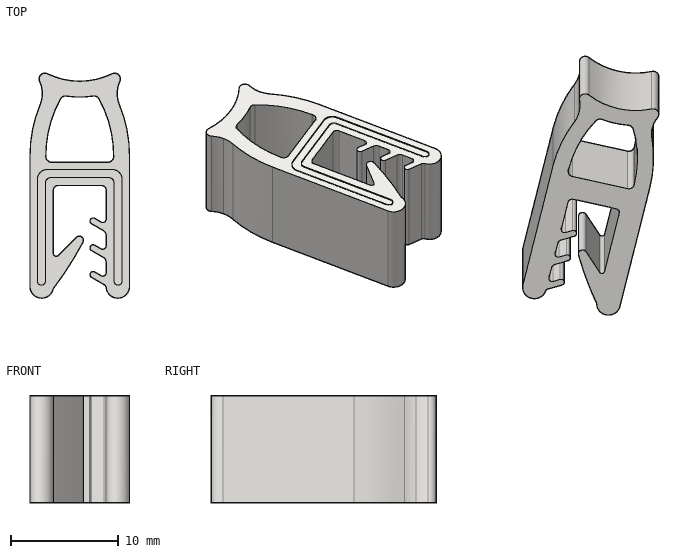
import cadquery as cq
import math


WIDTH = 9.3
HEIGHT = 21.0
LENGTH = 10.0
HALF_WIDTH = WIDTH / 2

LEG_WIDTH = 2.2
LEG_RADIUS = LEG_WIDTH / 2
LEG_X = HALF_WIDTH - LEG_RADIUS
CHANNEL_HALF = HALF_WIDTH - LEG_WIDTH
CHANNEL_TOP = 10.5
CHANNEL_CORNER_RADIUS = 0.4

INSERT_THICKNESS = 0.75
INSERT_COVER = 0.75
INSERT_INNER_HALF = CHANNEL_HALF + INSERT_COVER
INSERT_OUTER_HALF = INSERT_INNER_HALF + INSERT_THICKNESS
INSERT_INNER_TOP = CHANNEL_TOP + INSERT_COVER
INSERT_OUTER_TOP = INSERT_INNER_TOP + INSERT_THICKNESS
INSERT_BOTTOM = 1.225
INSERT_OUTER_RADIUS = 0.9
INSERT_INNER_RADIUS = 0.5
INSERT_RECESS = 0.1

SHOULDER_Y = 13.3
SHOULDER_RADIUS = 12.4
NECK_HALF = 3.505
NECK_Y = 19.1
HORN_RADIUS = 0.55
HORN_X = 3.25
HORN_Y = HEIGHT - HORN_RADIUS
CROWN_Y = 20.25

BULB_WALL = 1.5
HOLLOW_FLOOR = 12.7
HOLLOW_CORNER_RADIUS = 0.5

LIP_TIP_X = -0.05
LIP_TIP_Y = 5.4
LIP_TIP_RADIUS = 0.4
LIP_TOP_ANGLE = 45.0
LIP_LOWER_ANGLE = 28.0
LIP_ROOT_Y = 0.9
LIP_BOW = 0.1
LIP_ROOT_FILLET = 0.25

RIB_COUNT = 3
RIB_PITCH = 2.5
RIB_TIP_X = 1.25
LOWEST_RIB_Y = 2.2
RIB_TIP_RADIUS = 0.3
RIB_SLOPE = 30.0
RIB_TOP_FILLET = 0.3
RIB_BOTTOM_FILLET = 0.5
LOWEST_RIB_BOTTOM_FILLET = 0.35


def polar(center, radius, angle):
    """Point on a circle, at an angle in degrees from +X."""
    turn = math.radians(angle)
    return (center[0] + radius * math.cos(turn), center[1] + radius * math.sin(turn))


def direction(start, end):
    """Angle in degrees from +X of the line from start to end."""
    return math.degrees(math.atan2(end[1] - start[1], end[0] - start[0]))


def mirrored(point):
    """The same point on the other side of the centre line."""
    return (-point[0], point[1])


def meeting_point(center_a, radius_a, center_b, radius_b):
    """Crossing of two circles that lies to the left when looking from a to b."""
    gap = math.dist(center_a, center_b)
    along = (gap**2 + radius_a**2 - radius_b**2) / (2 * gap)
    turn = math.degrees(math.acos(along / radius_a))
    return polar(center_a, radius_a, direction(center_a, center_b) + turn)


def neck_radius(center, radius):
    """Radius of the neck arc that touches the given arc from outside."""
    inset = center[0] + NECK_HALF
    rise = center[1] - NECK_Y
    return (inset**2 + rise**2 - radius**2) / (2 * (radius - inset))


shoulder_center = (SHOULDER_RADIUS - HALF_WIDTH, SHOULDER_Y)
horn_center = (-HORN_X, HORN_Y)
lower_neck_radius = neck_radius(shoulder_center, SHOULDER_RADIUS)
upper_neck_radius = neck_radius(horn_center, HORN_RADIUS)
lower_neck_center = (-NECK_HALF - lower_neck_radius, NECK_Y)
upper_neck_center = (-NECK_HALF - upper_neck_radius, NECK_Y)
crown_rise = HORN_Y - CROWN_Y
crown_radius = (HORN_X**2 + crown_rise**2 - HORN_RADIUS**2) / (2 * (HORN_RADIUS + crown_rise))
crown_center = (0, CROWN_Y + crown_radius)


def outer_block():
    """Solid outer shape, before the hollow and the channel are cut."""
    shoulder_to_neck = direction(shoulder_center, lower_neck_center)
    shoulder_start = (-HALF_WIDTH, SHOULDER_Y)
    shoulder_mid = polar(shoulder_center, SHOULDER_RADIUS, (180 + shoulder_to_neck) / 2)
    shoulder_end = polar(shoulder_center, SHOULDER_RADIUS, shoulder_to_neck)

    lower_neck_mid = polar(lower_neck_center, lower_neck_radius, (shoulder_to_neck - 180) / 2)
    narrowest = (-NECK_HALF, NECK_Y)
    neck_to_horn = direction(upper_neck_center, horn_center)
    upper_neck_mid = polar(upper_neck_center, upper_neck_radius, neck_to_horn / 2)
    neck_end = polar(upper_neck_center, upper_neck_radius, neck_to_horn)

    horn_to_crown = direction(horn_center, crown_center)
    horn_mid = polar(horn_center, HORN_RADIUS, (neck_to_horn + 180 + horn_to_crown) / 2)
    horn_end = polar(horn_center, HORN_RADIUS, horn_to_crown)

    return (
        cq.Workplane("XY")
        .moveTo(-HALF_WIDTH, LEG_RADIUS)
        .lineTo(*shoulder_start)
        .threePointArc(shoulder_mid, shoulder_end)
        .threePointArc(lower_neck_mid, narrowest)
        .threePointArc(upper_neck_mid, neck_end)
        .threePointArc(horn_mid, horn_end)
        .threePointArc((0, CROWN_Y), mirrored(horn_end))
        .threePointArc(mirrored(horn_mid), mirrored(neck_end))
        .threePointArc(mirrored(upper_neck_mid), mirrored(narrowest))
        .threePointArc(mirrored(lower_neck_mid), mirrored(shoulder_end))
        .threePointArc(mirrored(shoulder_mid), mirrored(shoulder_start))
        .lineTo(HALF_WIDTH, LEG_RADIUS)
        .threePointArc((LEG_X, 0), (CHANNEL_HALF, LEG_RADIUS))
        .lineTo(-CHANNEL_HALF, LEG_RADIUS)
        .threePointArc((-LEG_X, 0), (-HALF_WIDTH, LEG_RADIUS))
        .close()
        .extrude(LENGTH)
    )


def bulb_hollow():
    """Hollow whose sides and roof keep an even wall to the shoulder and crown arcs."""
    side_radius = SHOULDER_RADIUS - BULB_WALL
    roof_radius = crown_radius + BULB_WALL
    roof_corner = meeting_point(shoulder_center, side_radius, crown_center, roof_radius)
    side_start = (BULB_WALL - HALF_WIDTH, SHOULDER_Y)
    side_mid_angle = (180 + direction(shoulder_center, roof_corner)) / 2
    side_mid = polar(shoulder_center, side_radius, side_mid_angle)
    return (
        cq.Workplane("XY")
        .moveTo(side_start[0], HOLLOW_FLOOR)
        .lineTo(*side_start)
        .threePointArc(side_mid, roof_corner)
        .threePointArc((0, CROWN_Y - BULB_WALL), mirrored(roof_corner))
        .threePointArc(mirrored(side_mid), mirrored(side_start))
        .lineTo(-side_start[0], HOLLOW_FLOOR)
        .close()
        .extrude(LENGTH)
        .edges("|Z and <Y")
        .fillet(HOLLOW_CORNER_RADIUS)
        .edges("|Z and >Y")
        .fillet(HOLLOW_CORNER_RADIUS)
    )


def arch(half_width, bottom, top, corner_radius, height):
    """Upright rectangle about the centre line with its two upper corners rounded."""
    return (
        cq.Workplane("XY")
        .rect(2 * half_width, top - bottom, centered=(True, False))
        .extrude(height)
        .edges("|Z and >Y")
        .fillet(corner_radius)
        .translate((0, bottom, 0))
    )


def insert_recess():
    """U-shaped strip with rounded leg ends, as deep as the recess."""
    end_radius = INSERT_THICKNESS / 2
    end_x = INSERT_INNER_HALF + end_radius
    end_y = INSERT_BOTTOM + end_radius
    outer = arch(INSERT_OUTER_HALF, end_y, INSERT_OUTER_TOP, INSERT_OUTER_RADIUS, INSERT_RECESS)
    inner = arch(INSERT_INNER_HALF, end_y, INSERT_INNER_TOP, INSERT_INNER_RADIUS, INSERT_RECESS)
    ends = (
        cq.Workplane("XY")
        .pushPoints([(-end_x, end_y), (end_x, end_y)])
        .circle(end_radius)
        .extrude(INSERT_RECESS)
    )
    return outer.cut(inner).union(ends).translate((0, 0, LENGTH - INSERT_RECESS))


def fillet_corner(body, corner, radius):
    """Round the edge along Z that stands at the given X-Y corner."""
    edge_middle = (corner[0], corner[1], LENGTH / 2)
    return body.edges("|Z").edges(cq.selectors.NearestToPointSelector(edge_middle)).fillet(radius)


def add_lip(body):
    """Rounded lip leaning into the channel from the foot of the left leg."""
    tip = (LIP_TIP_X, LIP_TIP_Y)
    upper = polar(tip, LIP_TIP_RADIUS, 90 + LIP_TOP_ANGLE)
    lower = polar(tip, LIP_TIP_RADIUS, -LIP_LOWER_ANGLE)
    front = polar(tip, LIP_TIP_RADIUS, (90 + LIP_TOP_ANGLE - LIP_LOWER_ANGLE) / 2)
    rise = math.tan(math.radians(LIP_TOP_ANGLE))
    upper_root = (-CHANNEL_HALF, upper[1] - (upper[0] + CHANNEL_HALF) * rise)
    lower_root = (-CHANNEL_HALF, LIP_ROOT_Y)
    lower_middle = ((lower[0] + lower_root[0]) / 2, (lower[1] + lower_root[1]) / 2)
    bow = polar(lower_middle, LIP_BOW, direction(lower_root, lower) - 90)
    lip = (
        cq.Workplane("XY")
        .moveTo(-LEG_X, LEG_RADIUS)
        .lineTo(-LEG_X, upper_root[1])
        .lineTo(*upper_root)
        .lineTo(*upper)
        .threePointArc(front, lower)
        .threePointArc(bow, lower_root)
        .close()
        .extrude(LENGTH)
    )
    return fillet_corner(body.union(lip), upper_root, LIP_ROOT_FILLET)


def add_rib(body, tip_y, bottom_fillet):
    """Round-tipped rib sloping up and inward from the right leg, with filleted roots."""
    tip = (RIB_TIP_X, tip_y)
    upper = polar(tip, RIB_TIP_RADIUS, 90 - RIB_SLOPE)
    lower = polar(tip, RIB_TIP_RADIUS, -90 - RIB_SLOPE)
    front = polar(tip, RIB_TIP_RADIUS, 180 - RIB_SLOPE)
    fall = math.tan(math.radians(RIB_SLOPE))
    upper_root = (CHANNEL_HALF, upper[1] - (CHANNEL_HALF - upper[0]) * fall)
    lower_root = (CHANNEL_HALF, lower[1] - (CHANNEL_HALF - lower[0]) * fall)
    rib = (
        cq.Workplane("XY")
        .moveTo(*lower)
        .threePointArc(front, upper)
        .lineTo(*upper_root)
        .lineTo(LEG_X, upper_root[1])
        .lineTo(LEG_X, lower_root[1])
        .lineTo(*lower_root)
        .close()
        .extrude(LENGTH)
    )
    body = fillet_corner(body.union(rib), upper_root, RIB_TOP_FILLET)
    return fillet_corner(body, lower_root, bottom_fillet)


channel = arch(CHANNEL_HALF, 0, CHANNEL_TOP, CHANNEL_CORNER_RADIUS, LENGTH)

result = outer_block().cut(bulb_hollow()).cut(channel)
result = add_lip(result)
for index in range(RIB_COUNT):
    is_lowest = index == 0
    root_fillet = LOWEST_RIB_BOTTOM_FILLET if is_lowest else RIB_BOTTOM_FILLET
    result = add_rib(result, LOWEST_RIB_Y + index * RIB_PITCH, root_fillet)
result = result.cut(insert_recess())